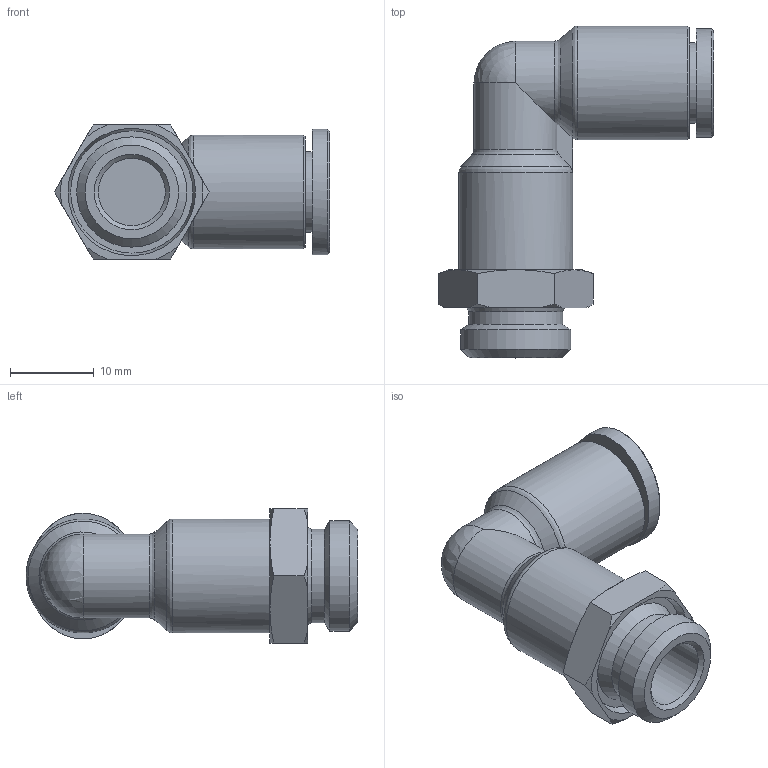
import cadquery as cq
import math


elbow_radius = 5.0
body_radius = 6.8
shoulder_length = 2.0
shoulder_blend_radius = 1.0
tube_shoulder_start = 5.0
stud_shoulder_start = 8.3
tube_body_end = 20.7
body_end_chamfer = 0.2
web_thickness = 2.0

ring_width_y = 13.0
ring_height_z = 15.0
ring_start = 21.5
ring_end = 23.6
ring_chamfer = 0.25
ring_stem_radius = 4.8

stud_end = 32.8
thread_radius = 6.58
thread_chamfer = 1.0
thread_length = 4.0
neck_radius = 5.6
neck_length = 2.0
thread_run_out_length = 0.65
bore_radius = 4.0
bore_chamfer = 0.5

hex_across_flats = 16.0
hex_height = 4.5
hex_end = stud_end - thread_length - neck_length
hex_start = hex_end - hex_height
hex_corner_radius = hex_across_flats / math.sqrt(3)
hex_outer_face_radius = 8.5
hex_outer_chamfer_angle = 30.0
hex_inner_face_radius = hex_across_flats / 2
hex_inner_chamfer_angle = 20.0

recess_depth = 1.1
recess_mouth_radius = 7.6
recess_floor_radius = 7.3
neck_flare_length = 0.5
neck_flare_angle = 25.0

selection_margin = 0.05


def revolve_about_x(points):
    """Solid of revolution about X from (axial, radial) points."""
    return cq.Workplane("XY").polyline(points).close().revolve(360, (0, 0, 0), (1, 0, 0))


def ring_edge(solid, axial, radius):
    """The circular edge of a body around X at one axial position and radius."""
    reach = radius + selection_margin
    return solid.edges(cq.selectors.BoxSelector(
        (axial - selection_margin, -reach, -reach),
        (axial + selection_margin, reach, reach),
        boundingbox=True,
    ))


def make_limb(shoulder_start, end):
    """Elbow-sized tube that widens over a blended shoulder to the body."""
    shoulder_end = shoulder_start + shoulder_length
    limb = revolve_about_x([
        (0, 0),
        (0, elbow_radius),
        (shoulder_start, elbow_radius),
        (shoulder_end, body_radius),
        (end, body_radius),
        (end, 0),
    ])
    limb = ring_edge(limb, shoulder_start, elbow_radius).fillet(shoulder_blend_radius)
    return ring_edge(limb, shoulder_end, body_radius).fillet(shoulder_blend_radius)


def make_release_ring():
    """Oval ring with its round stem, which reaches back into the body."""
    ring = (
        cq.Workplane("YZ", origin=(ring_start, 0, 0))
        .ellipse(ring_width_y / 2, ring_height_z / 2)
        .extrude(ring_end - ring_start)
        .faces(">X").chamfer(ring_chamfer)
    )
    stem = cq.Workplane("YZ").circle(ring_stem_radius).extrude(ring_end - ring_chamfer)
    return ring.union(stem)


def make_tube_limb():
    limb = make_limb(tube_shoulder_start, tube_body_end)
    limb = limb.faces(">X").chamfer(body_end_chamfer)
    return limb.union(make_release_ring())


def hex_chamfer_drop(face_radius, angle):
    """Axial height of a conical chamfer at the hexagon corners."""
    return (hex_corner_radius - face_radius) * math.tan(math.radians(angle))


def make_hexagon():
    """Hexagon with both ends chamfered and a tapered recess in the outer face."""
    inner_drop = hex_chamfer_drop(hex_inner_face_radius, hex_inner_chamfer_angle)
    outer_drop = hex_chamfer_drop(hex_outer_face_radius, hex_outer_chamfer_angle)
    prism = (
        cq.Workplane("YZ", origin=(hex_start, 0, 0))
        .polygon(6, 2 * hex_corner_radius)
        .extrude(hex_height)
    )
    envelope = revolve_about_x([
        (hex_start, 0),
        (hex_start, hex_inner_face_radius),
        (hex_start + inner_drop, hex_corner_radius),
        (hex_end - outer_drop, hex_corner_radius),
        (hex_end, hex_outer_face_radius),
        (hex_end, 0),
    ])
    recess = revolve_about_x([
        (hex_end - recess_depth, 0),
        (hex_end - recess_depth, recess_floor_radius),
        (hex_end, recess_mouth_radius),
        (hex_end, 0),
    ])
    return prism.intersect(envelope).cut(recess)


def make_stud():
    """Neck that flares down to the recess floor, then the plain thread cylinder."""
    recess_floor = hex_end - recess_depth
    flare_end = hex_end + neck_flare_length
    flare_rise = (flare_end - recess_floor) * math.tan(math.radians(neck_flare_angle))
    neck_end = hex_end + neck_length
    return revolve_about_x([
        (recess_floor, 0),
        (recess_floor, neck_radius + flare_rise),
        (flare_end, neck_radius),
        (neck_end, neck_radius),
        (neck_end + thread_run_out_length, thread_radius),
        (stud_end - thread_chamfer, thread_radius),
        (stud_end, thread_radius - thread_chamfer),
        (stud_end, 0),
    ])


def make_bore():
    """Blind bore through the stud and hexagon, chamfered at the mouth."""
    return revolve_about_x([
        (hex_start, 0),
        (hex_start, bore_radius),
        (stud_end - bore_chamfer, bore_radius),
        (stud_end, bore_radius + bore_chamfer),
        (stud_end, 0),
    ])


def make_stud_limb():
    limb = make_limb(stud_shoulder_start, hex_start)
    limb = limb.union(make_hexagon()).union(make_stud()).cut(make_bore())
    return limb.rotate((0, 0, 0), (0, 0, 1), -90)


def make_web():
    """Thin flat web filling the inside corner, flush with the stud body."""
    shoulder_angle = math.atan2(body_radius - elbow_radius, shoulder_length)
    blend_length = shoulder_blend_radius * math.tan(shoulder_angle / 2)
    web_depth = stud_shoulder_start + shoulder_length + blend_length
    return cq.Workplane("XY").box(
        body_radius, web_depth, web_thickness, centered=(False, False, True)
    ).translate((0, -web_depth, 0))


elbow = cq.Workplane("XY").sphere(elbow_radius)
result = make_tube_limb().union(make_stud_limb()).union(elbow).union(make_web())